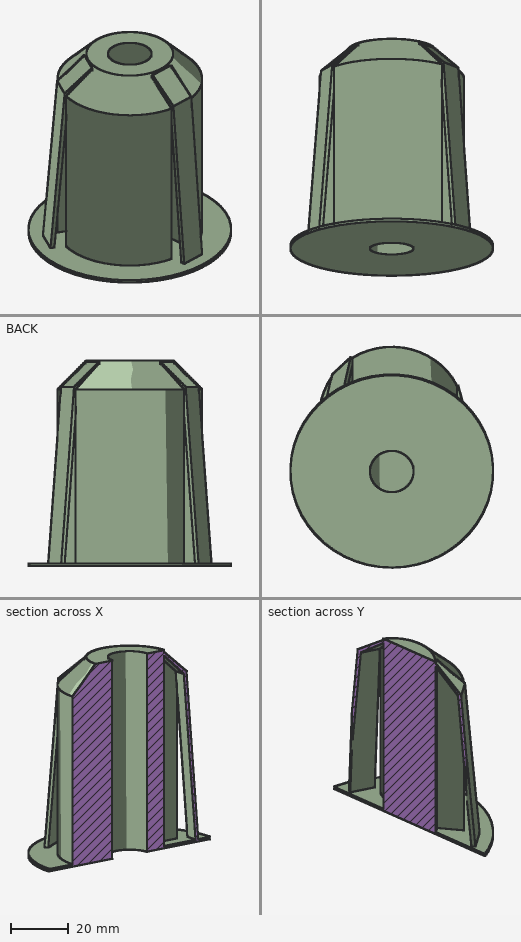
import cadquery as cq

total_height = 71.0
flange_radius = 35.0
flange_thickness = 1.0
body_radius = 25.0
top_radius = 15.0
bore_radius = 7.5
shoulder_height = total_height - (body_radius - top_radius)

tab_count = 3
tab_width = 9.0
side_gap = 0.5
slot_width = tab_width + 2 * side_gap
slot_floor_radius = top_radius
tab_thickness = 1.4
tab_foot_radius = 29.95
tab_knee_radius = 24.85
tab_knee_height = 61.85
tab_root_height = 70.35
root_depth = 1.55
inner_knee_drop = 0.8
tab_embed = 0.7


def make_body():
    """Revolve the flanged body with its through bore."""
    return (
        cq.Workplane("XZ")
        .moveTo(bore_radius, 0)
        .lineTo(flange_radius, 0)
        .lineTo(flange_radius, flange_thickness)
        .lineTo(body_radius, flange_thickness)
        .lineTo(body_radius, shoulder_height)
        .lineTo(top_radius, total_height)
        .lineTo(bore_radius, total_height)
        .close()
        .revolve(360, (0, 0, 0), (0, 1, 0))
    )


def make_slot():
    """Flat-bottomed slot on the -Y side, open outward and upward."""
    slot_depth = flange_radius - slot_floor_radius
    return cq.Workplane("XY").box(
        slot_width, slot_depth, total_height, centered=(True, False, False)
    ).translate((0, -flange_radius, flange_thickness))


def make_tab():
    """Bent strip on the -Y side: sloping root, knee and splayed leg."""
    root_bottom = tab_root_height - root_depth
    embed_radius = slot_floor_radius - tab_embed
    return (
        cq.Workplane("YZ")
        .moveTo(-slot_floor_radius, tab_root_height)
        .lineTo(-tab_knee_radius, tab_knee_height)
        .lineTo(-tab_foot_radius, flange_thickness)
        .lineTo(-(tab_foot_radius - tab_thickness), flange_thickness)
        .lineTo(-(tab_knee_radius - tab_thickness), tab_knee_height - inner_knee_drop)
        .lineTo(-slot_floor_radius, root_bottom)
        .lineTo(-embed_radius, root_bottom)
        .lineTo(-embed_radius, tab_root_height)
        .close()
        .extrude(tab_width / 2, both=True)
    )


def around_axis(shape):
    """Return the shape repeated evenly about the Z axis."""
    step = 360 / tab_count
    return [shape.rotate((0, 0, 0), (0, 0, 1), i * step) for i in range(tab_count)]


result = make_body()
for slot in around_axis(make_slot()):
    result = result.cut(slot)
for tab in around_axis(make_tab()):
    result = result.union(tab)